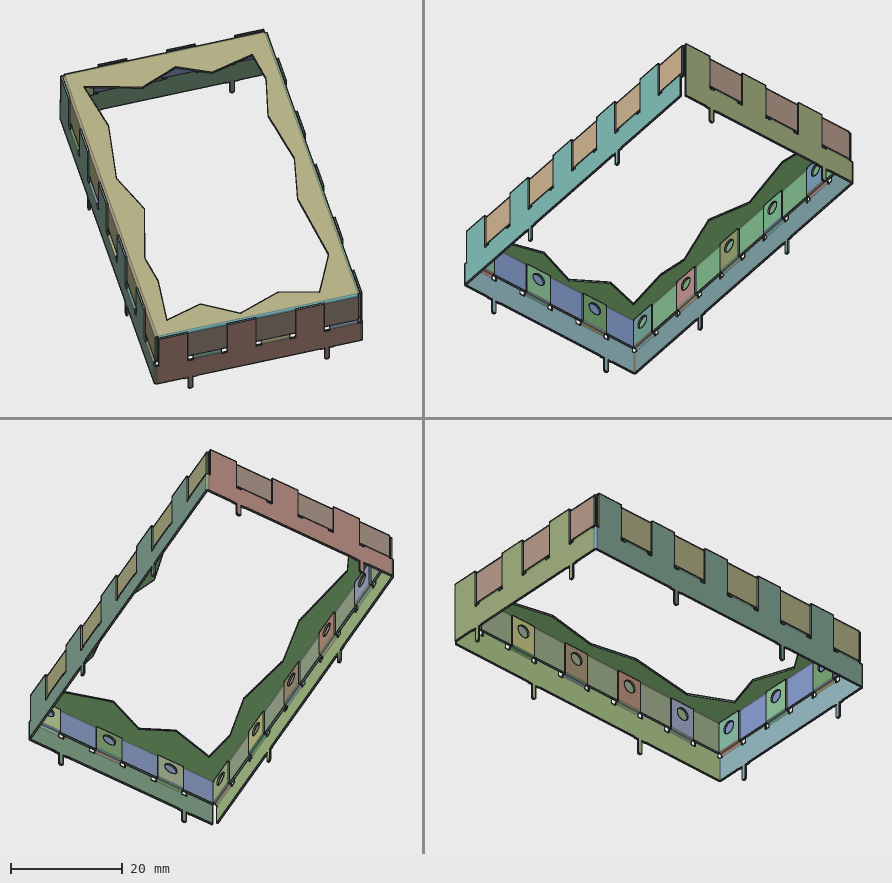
import cadquery as cq
import math


length = 64.2
width = 38.8
wall_height = 12.5
frame_sheet = 0.3
frame_bend = 0.45

cover_sheet = 0.4
cover_bend = 0.45
skirt_bottom = 5.65
lid_inset = frame_sheet + cover_bend

pitch = 12.7
window_width = 7.4
tongue_width = 5.25
ledge_bend = frame_sheet + cover_sheet
window_bottom = skirt_bottom - ledge_bend
relief_depth = 0.25
relief_fillet = 0.2
tongue_bend = 0.25
tongue_top = wall_height - cover_bend
tongue_hole_diameter = 2.55
tongue_hole_height = 9.75

pin_length = 3.2
pin_width = 0.85
pin_chamfer = 0.25
shoulder_width = 2.5
shoulder_height = 0.1

first_offset = pitch / 4
long_windows = [first_offset + pitch * step for step in (-2, -1, 0, 1, 2)]
short_windows = [first_offset + pitch * step for step in (-1, 0, 1)]
walls = [
    (0, length, width / 2, long_windows),
    (90, width, length / 2, short_windows),
    (180, length, width / 2, long_windows),
    (270, width, length / 2, short_windows),
]
pin_positions = (-pitch, pitch)

opening_outline = [
    (-27.9, -16.0), (-18.0, -14.1), (-5.85, -16.0), (2.25, -13.0), (13.3, -16.0),
    (19.0, -15.1), (28.1, -16.0), (26.1, -9.25), (30.1, -2.9), (27.15, 5.0),
    (29.15, 12.05), (21.1, 16.0), (7.2, 14.05), (-1.9, 16.0), (-12.8, 14.05),
    (-21.05, 16.0), (-27.0, 15.1), (-25.0, 7.05), (-27.9, 1.1), (-25.0, -5.9),
]


def box(x_range, y_range, z_range):
    """Box between two limits along each axis."""
    size = [high - low for low, high in (x_range, y_range, z_range)]
    corner = (x_range[0], y_range[0], z_range[0])
    return cq.Workplane("XY").box(*size, centered=False).translate(corner)


def place(shape, turn):
    """Turn a feature made for the -Y wall to another wall."""
    return shape.rotate((0, 0, 0), (0, 0, 1), turn)


def rounded_block(inset, radius, bottom, top):
    """Block inside the frame outline with rounded vertical edges."""
    block = cq.Workplane("XY").workplane(offset=bottom)
    block = block.rect(length - 2 * inset, width - 2 * inset).extrude(top - bottom)
    return block.edges("|Z").fillet(radius)


def window(face, center, end):
    """Open-topped window, with relief slots beside its tongue, clipped at the wall's end."""
    left = center - window_width / 2
    right = min(center + window_width / 2, end)
    depth = (-face, -face + frame_sheet)
    cut = box((left, right), depth, (window_bottom, wall_height))
    relief_width = (window_width - tongue_width) / 2
    for relief_left in (left, center + tongue_width / 2):
        if relief_left + relief_width <= end:
            span = (relief_left, relief_left + relief_width)
            slot = box(span, depth, (window_bottom - relief_depth, window_bottom))
            cut = cut.union(slot.edges("<Z and |Y").fillet(relief_fillet))
    return cut


def tongue(face, center):
    """Spring tongue: a rounded ledge under the skirt, then a plate with a hole behind it."""
    inner_bend = ledge_bend - frame_sheet
    slant = math.sqrt(0.5)
    back = -face + ledge_bend
    profile = (
        cq.Workplane("YZ").workplane(offset=center - tongue_width / 2)
        .moveTo(-face, window_bottom)
        .threePointArc((back - ledge_bend * slant, window_bottom + ledge_bend * slant), (back, skirt_bottom))
        .lineTo(back, tongue_top)
        .lineTo(back + frame_sheet, tongue_top)
        .lineTo(back + frame_sheet, skirt_bottom - frame_sheet)
        .lineTo(back, skirt_bottom - frame_sheet)
        .threePointArc((back - inner_bend * slant, window_bottom + inner_bend * slant),
                       (back - inner_bend, window_bottom))
        .close()
    )
    hole = cq.Workplane("XZ", origin=(center, back + frame_sheet, tongue_hole_height))
    hole = hole.circle(tongue_hole_diameter / 2).extrude(frame_sheet)
    inner_corner = cq.selectors.NearestToPointSelector((center, back + frame_sheet, skirt_bottom - frame_sheet))
    plate = profile.extrude(tongue_width).edges(inner_corner).fillet(tongue_bend)
    return plate.cut(hole)


def pin(face, center):
    """Solder pin with a chamfered tip, hanging from a low shoulder on the wall."""
    depth = (-face, -face + frame_sheet)
    shoulder = box((center - shoulder_width / 2, center + shoulder_width / 2), depth, (-shoulder_height, 0))
    shaft = box((center - pin_width / 2, center + pin_width / 2), depth, (-pin_length, 0))
    return shoulder.union(shaft.faces("<Z").edges("|Y").chamfer(pin_chamfer))


def make_frame():
    """Frame: four walls with open corners above the windows, spring tongues and pins."""
    inner_radius = frame_bend - frame_sheet
    frame = rounded_block(0, frame_bend, 0, wall_height)
    frame = frame.cut(rounded_block(frame_sheet, inner_radius, 0, wall_height))

    flat_x = length / 2 - lid_inset
    flat_y = width / 2 - lid_inset
    for x_range in ((-length / 2, -flat_x), (flat_x, length / 2)):
        for y_range in ((-width / 2, -flat_y), (flat_y, width / 2)):
            frame = frame.cut(box(x_range, y_range, (window_bottom, wall_height)))
    frame = frame.cut(box((-length / 2, -flat_x), (flat_y, width / 2), (0, wall_height)))

    for turn, wall_length, face, window_positions in walls:
        for center in window_positions:
            frame = frame.cut(place(window(face, center, wall_length / 2 - lid_inset), turn))
    for turn, wall_length, face, window_positions in walls:
        for center in window_positions:
            frame = frame.union(place(tongue(face, center), turn))
        for center in pin_positions:
            frame = frame.union(place(pin(face, center), turn))
    return frame


def skirt(face, wall_length):
    """Skirt of the cover along one wall, with the round bend up to the lid."""
    outer = -face + frame_sheet
    flat = outer + cover_bend
    inner_bend = cover_bend - cover_sheet
    slant = math.sqrt(0.5)
    bend_height = wall_height - cover_bend
    span = wall_length - 2 * lid_inset
    return (
        cq.Workplane("YZ").workplane(offset=-span / 2)
        .moveTo(outer, skirt_bottom)
        .lineTo(outer, bend_height)
        .threePointArc((flat - cover_bend * slant, bend_height + cover_bend * slant), (flat, wall_height))
        .lineTo(flat, wall_height - cover_sheet)
        .threePointArc((flat - inner_bend * slant, bend_height + inner_bend * slant),
                       (outer + cover_sheet, bend_height))
        .lineTo(outer + cover_sheet, skirt_bottom)
        .close()
        .extrude(span)
    )


def make_cover():
    """Cover: a lid with a torn opening and one skirt along each wall."""
    lid = cq.Workplane("XY").workplane(offset=wall_height - cover_sheet)
    lid = lid.rect(length - 2 * lid_inset, width - 2 * lid_inset).extrude(cover_sheet)
    opening = cq.Workplane("XY").workplane(offset=wall_height - cover_sheet)
    cover = lid.cut(opening.polyline(opening_outline).close().extrude(cover_sheet))
    for turn, wall_length, face, window_positions in walls:
        cover = cover.union(place(skirt(face, wall_length), turn))
    return cover


frame = make_frame()
cover = make_cover()
result = cq.Compound.makeCompound([frame.solids().val(), cover.solids().val()])